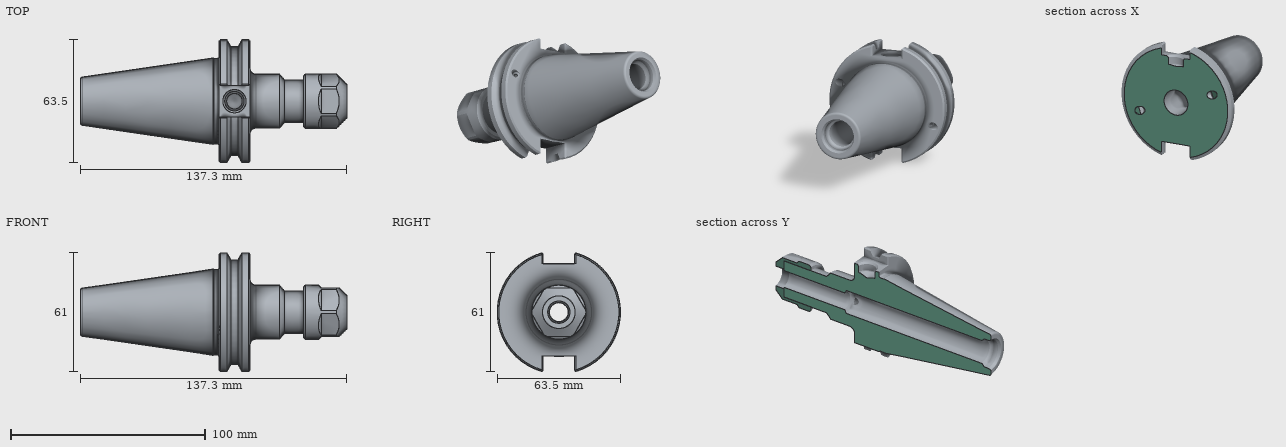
import cadquery as cq
import math


GAUGE_RADIUS = 44.45 / 2
TAPER_LENGTH = 68.25
TAPER_SLOPE = 7 / 24 / 2
SMALL_END_RADIUS = GAUGE_RADIUS - TAPER_SLOPE * TAPER_LENGTH
SMALL_END_X = -TAPER_LENGTH
SMALL_END_ROUND = 1.25

COLLAR_RADIUS = 22.05
COLLAR_STEP_LENGTH = 0.4
COLLAR_ROUND = 0.8

FLANGE_RADIUS = 63.5 / 2
FLANGE_BACK_X = 3.18
FLANGE_WIDTH = 15.87
FLANGE_FRONT_X = FLANGE_BACK_X + FLANGE_WIDTH
RIM_CHAMFER = 0.8
GROOVE_X = 11.05
GROOVE_RADIUS = 56.25 / 2
GROOVE_FLOOR_WIDTH = 3.75
GROOVE_WALL_ANGLE = 30
GROOVE_TOP_WIDTH = GROOVE_FLOOR_WIDTH + 2 * (FLANGE_RADIUS - GROOVE_RADIUS) * math.tan(
    math.radians(GROOVE_WALL_ANGLE)
)

SLOT_WIDTH = 16.1
TOP_SLOT_FLOOR = 25.0
BOTTOM_SLOT_FLOOR = 22.6
SLOT_CHAMFER = 0.7

SHANK_RADIUS = 27.8 / 2
SHANK_END_X = 34.15
SHANK_ROUND = 3.0
NOSE_RADIUS = 22 / 2
NOSE_START_X = SHANK_END_X + 2.6

BORE_MOUTH_RADIUS = 18 / 2
COUNTERBORE_RADIUS = 16.46 / 2
COUNTERBORE_START = 1.5
COUNTERBORE_END = 4.3
THREAD_RADIUS = 13.39 / 2
THREAD_START = COUNTERBORE_END + COUNTERBORE_RADIUS - THREAD_RADIUS
THROUGH_RADIUS = 9.73 / 2
BORE_CONE_X = 24.0
BORE_POINT_ANGLE = 118
THROUGH_START_X = BORE_CONE_X + (THREAD_RADIUS - THROUGH_RADIUS) / math.tan(
    math.radians(BORE_POINT_ANGLE / 2)
)

POCKET_MOUTH_RADIUS = 12 / 2
POCKET_RADIUS = 10.05 / 2
POCKET_DEPTH = 4.6
POCKET_DRILL_RADIUS = 8 / 2
POCKET_POINT_ANGLE = 140

CHANNEL_RADIUS = 4 / 2
CHANNEL_CIRCLE_RADIUS = 27.0
CHANNEL_TILT = 45
CHANNEL_ROLLS = (20, 200)
PLUG_DEPTH = CHANNEL_RADIUS * math.tan(math.radians(CHANNEL_TILT))
PLUG_LENGTH = 5.0
PLUG_SOCKET_FLATS = 2.0
PLUG_SOCKET_DEPTH = 1.5

NUT_RADIUS = 28 / 2
NUT_BACK_X = 46.5
NUT_FRONT_X = 69.1
NUT_BACK_CHAMFER = 1.1
NUT_FACE_RADIUS = 16.8 / 2
NUT_CONE_X = NUT_FRONT_X - (NUT_RADIUS - NUT_FACE_RADIUS)
NUT_FLAT_RADIUS = 25 / 2
NUT_FLATS = 6
FLAT_START_X = 55.75
NUT_LIP = 5.0
NUT_OPENING_RADIUS = 11.5 / 2
NOSE_END_X = NUT_FRONT_X - NUT_LIP


def turned(profile):
    """Revolve a closed profile, drawn as X against radius, about the X axis."""
    return profile.close().revolve(360, (0, 0, 0), (1, 0, 0))


def turned_blank():
    """Taper, collar, flange, shank and nose in one revolved outline."""
    groove_floor = GROOVE_FLOOR_WIDTH / 2
    groove_top = GROOVE_TOP_WIDTH / 2
    rim_face_radius = FLANGE_RADIUS - RIM_CHAMFER
    tilt = math.atan(TAPER_SLOPE)
    tangent_length = SMALL_END_ROUND * math.tan(math.pi / 4 - tilt / 2)
    round_centre = (SMALL_END_X + SMALL_END_ROUND, SMALL_END_RADIUS - tangent_length)
    round_end = (
        round_centre[0] - SMALL_END_ROUND * math.sin(tilt),
        round_centre[1] + SMALL_END_ROUND * math.cos(tilt),
    )
    profile = (
        cq.Workplane("XY")
        .moveTo(SMALL_END_X, 0)
        .lineTo(SMALL_END_X, round_centre[1])
        .tangentArcPoint(round_end, relative=False)
        .lineTo(0, GAUGE_RADIUS)
        .lineTo(COLLAR_STEP_LENGTH, COLLAR_RADIUS)
        .lineTo(FLANGE_BACK_X - COLLAR_ROUND, COLLAR_RADIUS)
        .tangentArcPoint((FLANGE_BACK_X, COLLAR_RADIUS + COLLAR_ROUND), relative=False)
        .lineTo(FLANGE_BACK_X, rim_face_radius)
        .lineTo(FLANGE_BACK_X + RIM_CHAMFER, FLANGE_RADIUS)
        .lineTo(GROOVE_X - groove_top, FLANGE_RADIUS)
        .lineTo(GROOVE_X - groove_floor, GROOVE_RADIUS)
        .lineTo(GROOVE_X + groove_floor, GROOVE_RADIUS)
        .lineTo(GROOVE_X + groove_top, FLANGE_RADIUS)
        .lineTo(FLANGE_FRONT_X - RIM_CHAMFER, FLANGE_RADIUS)
        .lineTo(FLANGE_FRONT_X, rim_face_radius)
        .lineTo(FLANGE_FRONT_X, SHANK_RADIUS + SHANK_ROUND)
        .tangentArcPoint((FLANGE_FRONT_X + SHANK_ROUND, SHANK_RADIUS), relative=False)
        .lineTo(SHANK_END_X, SHANK_RADIUS)
        .lineTo(NOSE_START_X, NOSE_RADIUS)
        .lineTo(NOSE_END_X, NOSE_RADIUS)
        .lineTo(NOSE_END_X, 0)
    )
    return turned(profile)


def flared_at_faces(floor):
    """Slot prism along Z that widens by the edge chamfer at both flange faces."""
    half = SLOT_WIDTH / 2
    flared = half + SLOT_CHAMFER
    return (
        cq.Workplane("XY", origin=(0, 0, floor))
        .moveTo(FLANGE_BACK_X, 0)
        .lineTo(FLANGE_BACK_X, flared)
        .lineTo(FLANGE_BACK_X + SLOT_CHAMFER, half)
        .lineTo(FLANGE_FRONT_X - SLOT_CHAMFER, half)
        .lineTo(FLANGE_FRONT_X, flared)
        .lineTo(FLANGE_FRONT_X, 0)
        .mirrorX()
        .extrude(FLANGE_RADIUS)
    )


def flared_at_rim(floor):
    """Slot prism along X that widens by the edge chamfer at the flange rim."""
    half = SLOT_WIDTH / 2
    flared = half + SLOT_CHAMFER
    rim_height = math.sqrt(FLANGE_RADIUS**2 - flared**2)
    return (
        cq.Workplane("YZ", origin=(FLANGE_BACK_X, 0, 0))
        .moveTo(0, floor)
        .lineTo(half, floor)
        .lineTo(half, rim_height - SLOT_CHAMFER)
        .lineTo(flared, rim_height)
        .lineTo(flared, FLANGE_RADIUS)
        .lineTo(0, FLANGE_RADIUS)
        .mirrorY()
        .extrude(FLANGE_WIDTH)
    )


def slot_cutter(floor):
    """Cutter for a drive slot at the top of the flange."""
    return flared_at_faces(floor).union(flared_at_rim(floor))


def cut_drive_slots(body):
    bottom_slot = slot_cutter(BOTTOM_SLOT_FLOOR).rotate((0, 0, 0), (1, 0, 0), 180)
    return body.cut(slot_cutter(TOP_SLOT_FLOOR)).cut(bottom_slot)


def bore_cutter():
    """Stepped bore: mouth chamfer, counterbore, thread bore and through bore."""
    profile = (
        cq.Workplane("XY")
        .moveTo(SMALL_END_X, 0)
        .lineTo(SMALL_END_X, BORE_MOUTH_RADIUS)
        .lineTo(SMALL_END_X + COUNTERBORE_START, COUNTERBORE_RADIUS)
        .lineTo(SMALL_END_X + COUNTERBORE_END, COUNTERBORE_RADIUS)
        .lineTo(SMALL_END_X + THREAD_START, THREAD_RADIUS)
        .lineTo(BORE_CONE_X, THREAD_RADIUS)
        .lineTo(THROUGH_START_X, THROUGH_RADIUS)
        .lineTo(NOSE_END_X, THROUGH_RADIUS)
        .lineTo(NOSE_END_X, 0)
    )
    return turned(profile)


def chip_pocket_cutter():
    """Chamfered pocket with a conical drill point in its floor, along Z."""
    mouth_chamfer = POCKET_MOUTH_RADIUS - POCKET_RADIUS
    point_depth = POCKET_DRILL_RADIUS / math.tan(math.radians(POCKET_POINT_ANGLE / 2))
    return (
        cq.Workplane("XZ")
        .lineTo(POCKET_MOUTH_RADIUS, 0)
        .lineTo(POCKET_RADIUS, -mouth_chamfer)
        .lineTo(POCKET_RADIUS, -POCKET_DEPTH)
        .lineTo(POCKET_DRILL_RADIUS, -POCKET_DEPTH)
        .lineTo(0, -POCKET_DEPTH - point_depth)
        .close()
        .revolve(360, (0, 0, 0), (0, 1, 0))
        .translate((GROOVE_X, 0, TOP_SLOT_FLOOR))
    )


def channel_plane(roll):
    """Plane on the flange back face, normal along the channel into the holder."""
    tilt = math.radians(CHANNEL_TILT)
    roll = math.radians(roll)
    outward = cq.Vector(0, math.cos(roll), math.sin(roll))
    origin = cq.Vector(FLANGE_BACK_X, 0, 0) + outward * CHANNEL_CIRCLE_RADIUS
    inward = cq.Vector(math.cos(tilt), 0, 0) - outward * math.sin(tilt)
    tangent = cq.Vector(0, -math.sin(roll), math.cos(roll))
    return cq.Plane(origin, tangent, inward)


def channel_cutter(roll):
    """Slanted coolant channel from outside the flange back face to the bore wall."""
    length = (CHANNEL_CIRCLE_RADIUS - THREAD_RADIUS) / math.sin(math.radians(CHANNEL_TILT))
    lead = 2 * PLUG_DEPTH
    return (
        cq.Workplane(channel_plane(roll))
        .workplane(offset=-lead)
        .circle(CHANNEL_RADIUS)
        .extrude(length + lead)
    )


def make_holder():
    holder = cut_drive_slots(turned_blank())
    holder = holder.cut(bore_cutter()).cut(chip_pocket_cutter())
    for roll in CHANNEL_ROLLS:
        holder = holder.cut(channel_cutter(roll))
    return holder


def make_plug(roll):
    """Hex-socket set screw closing one coolant channel."""
    face = cq.Workplane(channel_plane(roll)).workplane(offset=PLUG_DEPTH)
    socket_across_corners = PLUG_SOCKET_FLATS / math.cos(math.pi / 6)
    socket = face.polygon(6, socket_across_corners).extrude(PLUG_SOCKET_DEPTH)
    return face.circle(CHANNEL_RADIUS).extrude(PLUG_LENGTH).cut(socket)


def flat_cutter():
    """Cutter for the nut's top flat, with a 45 degree run-out towards the back."""
    height = NUT_RADIUS
    half_width = NUT_RADIUS
    return (
        cq.Workplane("XZ")
        .moveTo(FLAT_START_X, NUT_FLAT_RADIUS)
        .lineTo(FLAT_START_X - height, NUT_FLAT_RADIUS + height)
        .lineTo(NUT_FRONT_X, NUT_FLAT_RADIUS + height)
        .lineTo(NUT_FRONT_X, NUT_FLAT_RADIUS)
        .close()
        .extrude(half_width, both=True)
    )


def make_nut():
    """Clamping nut with a chamfered back, a conical front and wrench flats."""
    profile = (
        cq.Workplane("XY")
        .moveTo(NUT_BACK_X, NOSE_RADIUS)
        .lineTo(NUT_BACK_X, NUT_RADIUS - NUT_BACK_CHAMFER)
        .lineTo(NUT_BACK_X + NUT_BACK_CHAMFER, NUT_RADIUS)
        .lineTo(NUT_CONE_X, NUT_RADIUS)
        .lineTo(NUT_FRONT_X, NUT_FACE_RADIUS)
        .lineTo(NUT_FRONT_X, NUT_OPENING_RADIUS)
        .lineTo(NOSE_END_X, NUT_OPENING_RADIUS)
        .lineTo(NOSE_END_X, NOSE_RADIUS)
    )
    nut = turned(profile)
    for i in range(NUT_FLATS):
        nut = nut.cut(flat_cutter().rotate((0, 0, 0), (1, 0, 0), i * 360 / NUT_FLATS))
    return nut


holder = make_holder()
nut = make_nut()
plugs = [make_plug(roll) for roll in CHANNEL_ROLLS]

result = cq.Compound.makeCompound([holder.val(), nut.val(), *[plug.val() for plug in plugs]])